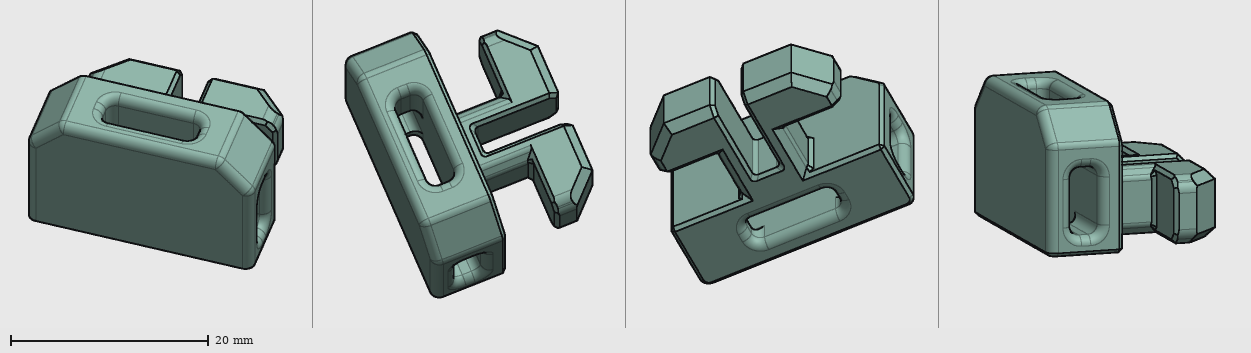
import cadquery as cq

BLOCK_WIDTH = 24.0
BLOCK_DEPTH = 8.0
BLOCK_HEIGHT = 15.0
SHOULDER_CHAMFER = 3.5
BLOCK_ROUND = 1.0
EDGE_CHAMFER = 0.4

SLOT_OPENING = 3.0
SLOT_CORNER = 1.0
SLOT_LIP_ROUND = 0.98
TOP_SLOT_LENGTH = 10.0
SIDE_SLOT_LENGTH = 7.0
SIDE_SLOT_FLOOR = 2.0

TOTAL_DEPTH = 19.5
CLIP_HEIGHT = 7.0
CLIP_CHAMFER = 1.0
STEM_HALF_WIDTH = 3.82
STEM_ROUND = 0.8
HEAD_FRONT = 14.2
HEAD_REACH_LEFT = 10.5
HEAD_REACH_RIGHT = 10.05
HEAD_TIP_LEFT = 7.27
HEAD_TIP_RIGHT = 7.05
HEAD_ROUND = 1.5

GAP_HALF_WIDTH = 1.5
GAP_FLOOR = 10.0
GAP_CORNER = 0.48
GAP_THROAT = GAP_FLOOR + 2 * GAP_CORNER

SLOT_CENTER_Y = BLOCK_DEPTH / 2
SIDE_SLOT_CENTER_Z = SIDE_SLOT_FLOOR + SIDE_SLOT_LENGTH / 2
STEM_START = BLOCK_DEPTH - EDGE_CHAMFER
STEM_END = (HEAD_FRONT + TOTAL_DEPTH) / 2

TOLERANCE = 0.002


def edges_in(shape, low, high):
    """Edges lying wholly inside the box spanned by two corners."""
    selected = []
    for edge in shape.Edges():
        box = edge.BoundingBox()
        mins = (box.xmin, box.ymin, box.zmin)
        maxs = (box.xmax, box.ymax, box.zmax)
        above = all(value > limit - TOLERANCE for value, limit in zip(mins, low))
        below = all(value < limit + TOLERANCE for value, limit in zip(maxs, high))
        if above and below:
            selected.append(edge)
    return selected


def make_block():
    """Block with sloped shoulders, rounded front and lightly chamfered back and base."""
    block = cq.Workplane("XY").box(
        BLOCK_WIDTH, BLOCK_DEPTH, BLOCK_HEIGHT, centered=(True, False, False)
    )
    block = block.edges("|Y and >Z").chamfer(SHOULDER_CHAMFER)
    block = block.edges("(|Y or <Y) and (not <Z)").fillet(BLOCK_ROUND)
    return block.faces("<Z or >Y").edges().chamfer(EDGE_CHAMFER)


def rounded_bar(plane, center, length, width, reach):
    """Straight bar with a rounded rectangular section, centred on its plane."""
    bar = cq.Workplane(plane).center(*center).rect(length, width).extrude(reach, both=True)
    direction = {"XY": "|Z", "YZ": "|X"}[plane]
    return bar.edges(direction).fillet(SLOT_CORNER)


def cut_strap_slots(block):
    """Vertical and sideways slots through the block, each with rounded mouths."""
    vertical = rounded_bar("XY", (0, SLOT_CENTER_Y), TOP_SLOT_LENGTH, SLOT_OPENING, BLOCK_HEIGHT)
    sideways = rounded_bar(
        "YZ", (SLOT_CENTER_Y, SIDE_SLOT_CENTER_Z), SLOT_OPENING, SIDE_SLOT_LENGTH, BLOCK_WIDTH
    )
    shape = block.cut(vertical).cut(sideways).val()
    half_length = TOP_SLOT_LENGTH / 2
    front = SLOT_CENTER_Y - SLOT_OPENING / 2
    back = SLOT_CENTER_Y + SLOT_OPENING / 2
    mouths = []
    for z in (0, BLOCK_HEIGHT):
        mouths += edges_in(shape, (-half_length, front, z), (half_length, back, z))
    side_top = SIDE_SLOT_FLOOR + SIDE_SLOT_LENGTH
    for x in (-BLOCK_WIDTH / 2, BLOCK_WIDTH / 2):
        mouths += edges_in(shape, (x, front, SIDE_SLOT_FLOOR), (x, back, side_top))
    return cq.Workplane(shape.fillet(SLOT_LIP_ROUND, mouths))


def bevelled_bar(left, right, start, end):
    """Bar along Y with its four long edges chamfered."""
    bar = cq.Workplane("XY").box(left + right, end - start, CLIP_HEIGHT, centered=False)
    return bar.translate((-left, start, 0)).edges("|Y").chamfer(CLIP_CHAMFER)


def round_bevels(bar, radius):
    """Round every long edge of a bevelled bar except the two on its base."""
    return bar.edges("|Y").edges("not <Z").fillet(radius)


def make_head():
    """Cross bar of the clip, with slanted tips and bevelled rear edges."""
    sharp_bar = bevelled_bar(HEAD_REACH_LEFT, HEAD_REACH_RIGHT, HEAD_FRONT, TOTAL_DEPTH)
    bar = round_bevels(sharp_bar, HEAD_ROUND)
    bar = bar.intersect(sharp_bar.faces("<Y").edges().chamfer(EDGE_CHAMFER))
    slant_left = HEAD_REACH_LEFT - HEAD_TIP_LEFT
    slant_right = HEAD_REACH_RIGHT - HEAD_TIP_RIGHT
    plan_solid = (
        cq.Workplane("XY")
        .moveTo(-HEAD_REACH_LEFT, HEAD_FRONT)
        .lineTo(HEAD_REACH_RIGHT, HEAD_FRONT)
        .lineTo(HEAD_REACH_RIGHT, TOTAL_DEPTH - slant_right)
        .lineTo(HEAD_TIP_RIGHT, TOTAL_DEPTH)
        .lineTo(-HEAD_TIP_LEFT, TOTAL_DEPTH)
        .lineTo(-HEAD_REACH_LEFT, TOTAL_DEPTH - slant_left)
        .close()
        .extrude(CLIP_HEIGHT)
    )
    plan_solid = plan_solid.faces(">Z or <Z").edges("not (<Y or |Y)").chamfer(CLIP_CHAMFER)
    return bar.intersect(plan_solid)


def make_flare(stem, wall, toward, floor, ceiling):
    """Bevelled collar where the stem meets a wall, widening in the given Y direction.

    Its slopes run on inside the stem, so that they also meet the rounded stem edges.
    Floor and ceiling are the Z limits at the wall; both close in at 45 degrees away from it.
    """
    section = stem.faces("<Y").wires().val()
    start = wall - toward * 2 * EDGE_CHAMFER
    narrow = section.offset2D(-EDGE_CHAMFER, "intersection")[0]
    wide = section.offset2D(EDGE_CHAMFER, "intersection")[0]
    narrow = narrow.translate(cq.Vector(0, start - STEM_START, 0))
    wide = wide.translate(cq.Vector(0, wall - STEM_START, 0))
    collar = cq.Workplane(cq.Solid.makeLoft([narrow, wide], True))
    limits = (
        cq.Workplane("YZ")
        .moveTo(wall, floor)
        .lineTo(wall, ceiling)
        .lineTo(start, ceiling - 2 * EDGE_CHAMFER)
        .lineTo(start, floor + 2 * EDGE_CHAMFER)
        .close()
        .extrude(BLOCK_WIDTH / 2, both=True)
    )
    return collar.intersect(limits)


def gap_outline(height, margin):
    """Rounded gap floor outline at a height, widened by a margin on the sides and floor."""
    half_width = GAP_HALF_WIDTH + margin
    length = GAP_THROAT - GAP_FLOOR + margin
    blank = (
        cq.Workplane("XY")
        .box(2 * half_width, length, CLIP_HEIGHT, centered=(True, False, False))
        .translate((0, GAP_FLOOR - margin, height))
    )
    return blank.edges("|Z and <Y").fillet(GAP_CORNER).faces("<Z").wires().val()


def make_gap_floor():
    """Blank for the closed end of the gap, flared at the top and at the base."""
    heights = (0, EDGE_CHAMFER, CLIP_HEIGHT - EDGE_CHAMFER, CLIP_HEIGHT)
    margins = (EDGE_CHAMFER, 0, 0, EDGE_CHAMFER)
    outlines = [gap_outline(z, margin) for z, margin in zip(heights, margins)]
    return cq.Workplane(cq.Solid.makeLoft(outlines, True))


def split_clip(clip):
    """Cut the open length of the gap, chamfer its rim and then cut its rounded floor."""
    opening = cq.Workplane("XY").box(
        2 * GAP_HALF_WIDTH, TOTAL_DEPTH, CLIP_HEIGHT, centered=(True, False, False)
    )
    shape = clip.cut(opening.translate((0, GAP_THROAT, 0))).val()
    rim = []
    for x in (-GAP_HALF_WIDTH, GAP_HALF_WIDTH):
        wall = edges_in(shape, (x, GAP_THROAT, 0), (x, TOTAL_DEPTH, CLIP_HEIGHT))
        rim += [edge for edge in wall if edge.Center().y > GAP_THROAT + TOLERANCE]
    return cq.Workplane(shape.chamfer(EDGE_CHAMFER, None, rim)).cut(make_gap_floor())


def make_clip():
    """Stem, head and the bevelled collars at both ends of the stem, split by the gap."""
    sharp_stem = bevelled_bar(STEM_HALF_WIDTH, STEM_HALF_WIDTH, STEM_START, STEM_END)
    stem = round_bevels(sharp_stem, STEM_ROUND)
    base_flare = make_flare(sharp_stem, BLOCK_DEPTH, -1, EDGE_CHAMFER, BLOCK_HEIGHT)
    head_flare = make_flare(sharp_stem, HEAD_FRONT, 1, EDGE_CHAMFER, CLIP_HEIGHT - EDGE_CHAMFER)
    clip = make_head().union(stem).union(base_flare).union(head_flare)
    return split_clip(clip)


result = cut_strap_slots(make_block()).union(make_clip())